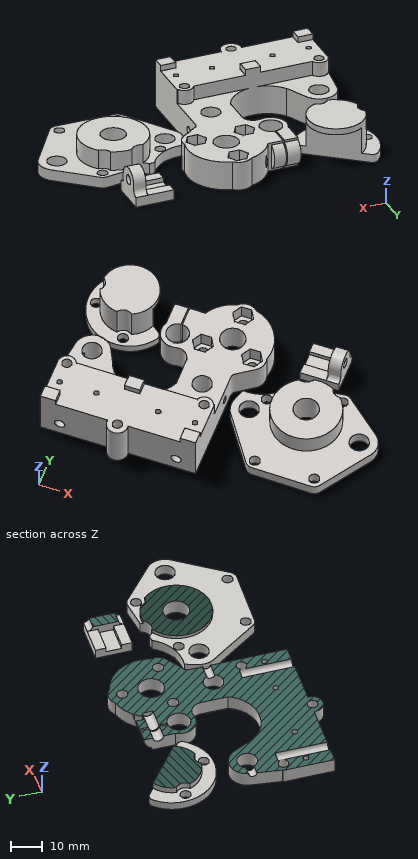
import cadquery as cq
import math


screw_r = 1.7
rod_r = 3.2
rod_lug_r = 6.0
rod_spacing = 36.9
rod_y = 26.6
boss_r = 3.0
bore_r = 4.1
motor_r = 13.2

block_w = 52.1
block_d = 17.2
block_h = 15.0
pad_w = 5.2
pad_d = 4.2
pad_top = 17.0
front_boss_r = 3.5
front_boss_y = -0.4
rear_boss_x = 3.1
rear_boss_y = 16.0
block_screw_r = 1.6
pin_r = 0.8
pin_y = 8.5
pin_offsets = (10.3, 22.7)
front_hole_offset = 19.5
set_screw_r = 1.3

plate_h = 10.0
mid_x = block_w / 2
mid_z = plate_h / 2
rod_left_x = mid_x - rod_spacing / 2
rod_right_x = mid_x + rod_spacing / 2
cradle_r = 11.6
cradle_y = 28.7
neck_x = 36.7
flank_foot_x = 19.0
flank_end = (16.7, 22.0)

motor_x = 47.6
motor_y = 46.1
motor_screw_circle = 9.5
motor_boss_r = 4.6
motor_screw_angles = (90, 210, 330)
nut_corner_d = 7.0
nut_depth = 5.0
shoulder_angle = 35
shoulder_fillet = 2.1

tube_x = 30.6
tube_y = 42.1
tube_r = 3.7
tube_boss_r = 5.5
tube_fillet = 3.8
clamp_left = 25.7
clamp_flat_y = 52.4
clamp_gap = (34.8, 37.5)
clamp_slit = 0.4
clamp_bolt_y = 50.3
clamp_lobe_r = 4.7
clamp_back_y = clamp_bolt_y + clamp_lobe_r

cap_x = 11.7
cap_y = 50.1
cap_axis_angle = 232.3
cap_flange_r = 14.0
cap_flange_h = 3.0
cap_flange_fillet = 1.9
cap_drum_r = 9.5
cap_lip_z = 12.0
cap_top = 14.1
cap_flat = 3.0
cap_screw_circle = 11.1
cap_screw_half_angle = 46.2

cover_x = 78.7
cover_h = 3.9
cover_disc_y = 28.5
cover_disc_r = 11.5
cover_top = 10.5
cover_low_spacing = 19.9
cover_low_y = 8.7
cover_low_left_r = 2.8
cover_low_right_r = 3.2
cover_top_screw = (86.9, 39.2)
cover_side_screw = (64.1, 32.1)
cover_lobe = (70.3, 36.9)
cover_lobe_r = 2.6
cover_shoulder = (56.3, 32.9)
cover_shoulder_r = 0.3
cover_motor = (57.6, 45.8)
cover_notch = (74.1, 41.7)
cover_notch_r = 3.6

slider_x = 70.3
slider_y = 45.5
slider_l = 13.1
slider_w = 12.1
slider_base_h = 3.6
groove_w = 5.1
groove_depth = 1.6
ear_t = 4.2
ear_r = 4.2
ear_top = 11.2
ear_hole_r = 1.6


def rod(x, y, radius, z0, z1):
    return cq.Workplane("XY", origin=(x, y, z0)).circle(radius).extrude(z1 - z0)


def block(x0, x1, y0, y1, z0, z1):
    return cq.Workplane("XY", origin=(x0, y0, z0)).box(x1 - x0, y1 - y0, z1 - z0, centered=False)


def polar(center, radius, degrees):
    angle = math.radians(degrees)
    return (center[0] + radius * math.cos(angle), center[1] + radius * math.sin(angle))


def tangent_angle(a, b):
    """Direction, in degrees, from either centre to the tangent line on the right of circles a to b."""
    (ax, ay, ar), (bx, by, br) = a, b
    distance = math.hypot(bx - ax, by - ay)
    heading = math.atan2(by - ay, bx - ax)
    return math.degrees(heading - math.acos((ar - br) / distance))


def hull(circles, height):
    """Plate stretched around circles (x, y, radius) listed counterclockwise."""
    count = len(circles)
    angles = [tangent_angle(circles[i], circles[(i + 1) % count]) for i in range(count)]
    x, y, radius = circles[0]
    outline = cq.Workplane("XY").moveTo(*polar((x, y), radius, angles[0]))
    for i in range(count):
        x, y, radius = circles[(i + 1) % count]
        start = angles[i]
        end = angles[(i + 1) % count]
        middle = start + (end - start) % 360 / 2
        outline = outline.lineTo(*polar((x, y), radius, start))
        outline = outline.threePointArc(polar((x, y), radius, middle), polar((x, y), radius, end))
    return outline.close().extrude(height)


def main_block():
    body = block(0, block_w, 0, block_d, 0, block_h)
    body = body.union(rod(mid_x, front_boss_y, front_boss_r, 0, block_h))
    for x in (rear_boss_x, block_w - rear_boss_x):
        body = body.union(rod(x, rear_boss_y, boss_r, 0, block_h))
    middle_left = mid_x - pad_w / 2
    corners = ((0, 0), (block_w - pad_w, 0), (middle_left, block_d - pad_d))
    for x, y in corners:
        body = body.union(block(x, x + pad_w, y, y + pad_d, 0, pad_top))
    return body


def rod_lug():
    """Left lug, blending into the rear boss on one side and the cradle on the other."""
    foot_r = 0.1
    return hull(
        [
            (rod_left_x, rod_y, rod_lug_r),
            (rear_boss_x, rear_boss_y, boss_r),
            (flank_foot_x - foot_r, block_d - foot_r, foot_r),
        ],
        plate_h,
    )


def neck():
    """Neck from the block to the motor disc, with the fillet against the tube boss."""
    fillet_x = neck_x - tube_fillet
    reach = tube_boss_r + tube_fillet
    fillet_y = tube_y - math.sqrt(reach ** 2 - (fillet_x - tube_x) ** 2)
    fillet_end = math.degrees(math.atan2(tube_y - fillet_y, tube_x - fillet_x))
    boss = polar((motor_x, motor_y), motor_screw_circle, motor_screw_angles[2])
    shoulder_start = polar(boss, motor_boss_r, shoulder_angle - 90)
    slope = math.tan(math.radians(shoulder_angle))
    shoulder_end = (block_w, shoulder_start[1] - slope * (shoulder_start[0] - block_w))
    cradle_mid_angle = -60
    body = (
        cq.Workplane("XY")
        .moveTo(mid_x, block_d - boss_r)
        .lineTo(block_w, block_d - boss_r)
        .lineTo(*shoulder_end)
        .lineTo(*shoulder_start)
        .lineTo(motor_x, motor_y)
        .lineTo(tube_x, tube_y)
        .lineTo(*polar((fillet_x, fillet_y), tube_fillet, fillet_end))
        .threePointArc(
            polar((fillet_x, fillet_y), tube_fillet, fillet_end / 2),
            (neck_x, fillet_y),
        )
        .lineTo(neck_x, cradle_y - math.sqrt(cradle_r ** 2 - (neck_x - mid_x) ** 2))
        .threePointArc(
            polar((mid_x, cradle_y), cradle_r, cradle_mid_angle),
            (mid_x, cradle_y - cradle_r),
        )
        .close()
        .extrude(plate_h)
    )
    corner = cq.selectors.NearestToPointSelector((*shoulder_end, mid_z))
    return body.edges("|Z").edges(corner).fillet(shoulder_fillet)


def cross_rod(x, y, radius, plane, length):
    return cq.Workplane(plane, origin=(x, y, mid_z)).circle(radius).extrude(length)


def tube_clamp():
    """Split clamp with a round lobe along its back and a nut gap across the lobe."""
    lobe = cross_rod(clamp_left, clamp_bolt_y, clamp_lobe_r, "YZ", motor_x - clamp_left)
    body = block(clamp_left, motor_x, tube_y, clamp_flat_y, 0, plate_h).union(lobe)
    body = body.cut(block(*clamp_gap, clamp_flat_y, clamp_back_y, 0, plate_h))
    return body.union(rod(tube_x, tube_y, tube_boss_r, 0, plate_h))


def motor_screws():
    return [polar((motor_x, motor_y), motor_screw_circle, a) for a in motor_screw_angles]


def motor_disc():
    body = rod(motor_x, motor_y, motor_r, 0, plate_h)
    for x, y in motor_screws():
        body = body.union(rod(x, y, motor_boss_r, 0, plate_h))
    return body


def make_mount():
    cradle = rod(mid_x, cradle_y, cradle_r, 0, plate_h)
    cradle_foot = block(flank_end[0], mid_x, block_d, flank_end[1], 0, plate_h)
    body = rod_lug().union(cradle_foot).cut(cradle).union(neck()).union(main_block())
    body = body.union(tube_clamp()).union(motor_disc())

    for x in (rod_left_x, rod_right_x):
        body = body.cut(rod(x, rod_y, rod_r, 0, plate_h))
    body = body.cut(rod(motor_x, motor_y, bore_r, 0, plate_h))
    body = body.cut(rod(tube_x, tube_y, tube_r, 0, plate_h))
    for x, y in motor_screws():
        pocket = cq.Workplane("XY", origin=(x, y, plate_h)).polygon(6, nut_corner_d).extrude(-nut_depth)
        body = body.cut(pocket).cut(rod(x, y, screw_r, 0, plate_h))
    block_screws = (
        (rear_boss_x, rear_boss_y),
        (block_w - rear_boss_x, rear_boss_y),
        (mid_x, front_boss_y),
    )
    for x, y in block_screws:
        body = body.cut(rod(x, y, block_screw_r, 0, block_h))

    for side in (-1, 1):
        for offset in pin_offsets:
            body = body.cut(rod(mid_x + side * offset, pin_y, pin_r, 0, block_h))
        hole = cross_rod(mid_x + side * front_hole_offset, 0, screw_r, "XZ", -block_d)
        set_screw = cross_rod(mid_x + side * rod_spacing / 2, rod_y, set_screw_r, "YZ", side * block_w / 2)
        body = body.cut(hole).cut(set_screw)

    half_slit = clamp_slit / 2
    body = body.cut(block(tube_x - half_slit, tube_x + half_slit, tube_y, clamp_back_y, 0, plate_h))
    bolt_length = clamp_gap[1] - clamp_left
    return body.cut(cross_rod(clamp_left, clamp_bolt_y, screw_r, "YZ", bolt_length))


def make_cap():
    """Built with its symmetry axis along +X, then turned and moved into place."""
    flat_side = block(-2 * cap_flange_r, -cap_flat, -cap_flange_r, cap_flange_r, 0, cap_lip_z)
    flange = rod(0, 0, cap_flange_r, 0, cap_flange_h).cut(flat_side)
    flange = flange.edges("|Z").fillet(cap_flange_fillet)
    body = rod(0, 0, cap_drum_r, 0, cap_lip_z).cut(flat_side)
    body = body.union(rod(0, 0, cap_drum_r, cap_lip_z, cap_top))
    screws = [polar((0, 0), cap_screw_circle, side * cap_screw_half_angle) for side in (-1, 1)]
    for x, y in screws:
        body = body.cut(rod(x, y, boss_r, 0, cap_top))
    body = body.union(flange)
    for x, y in screws:
        body = body.cut(rod(x, y, screw_r, 0, cap_flange_h))
    return body.rotate((0, 0, 0), (0, 0, 1), cap_axis_angle).translate((cap_x, cap_y, 0))


def make_cover():
    rod_left = cover_x - rod_spacing / 2
    rod_right = cover_x + rod_spacing / 2
    low_left = cover_x - cover_low_spacing / 2
    low_right = cover_x + cover_low_spacing / 2
    plate = hull(
        [
            (rod_left, rod_y, rod_lug_r),
            (low_left, cover_low_y, cover_low_left_r),
            (low_right, cover_low_y, cover_low_right_r),
            (rod_right, rod_y, rod_lug_r),
            (*cover_top_screw, boss_r),
            (*cover_lobe, cover_lobe_r),
            (*cover_shoulder, cover_shoulder_r),
        ],
        cover_h,
    )
    disc = rod(cover_x, cover_disc_y, cover_disc_r, cover_h, cover_top)
    disc = disc.cut(rod(*cover_top_screw, boss_r, cover_h, cover_top))
    body = plate.union(disc)
    body = body.cut(rod(*cover_motor, motor_r, 0, cover_top))
    body = body.cut(rod(*cover_notch, cover_notch_r, 0, cover_top))
    body = body.cut(rod(cover_x, cover_disc_y, bore_r, 0, cover_top))
    for x in (rod_left, rod_right):
        body = body.cut(rod(x, rod_y, rod_r, 0, cover_h))
    screws = (
        (low_left, cover_low_y),
        (low_right, cover_low_y),
        cover_top_screw,
        cover_side_screw,
    )
    for x, y in screws:
        body = body.cut(rod(x, y, screw_r, 0, cover_h))
    return body


def make_slider():
    right = slider_x + slider_l
    middle_y = slider_y + slider_w / 2
    flare = slider_w / 2 - ear_r
    flare_top = slider_base_h + flare
    ear_z = ear_top - ear_r
    bend = flare * (1 - math.sqrt(0.5))
    body = block(slider_x, right, slider_y, slider_y + slider_w, 0, slider_base_h)
    body = body.cut(
        block(
            slider_x, right, middle_y - groove_w / 2, middle_y + groove_w / 2,
            slider_base_h - groove_depth, slider_base_h,
        )
    )
    ear = (
        cq.Workplane("YZ", origin=(right - ear_t, middle_y, 0))
        .moveTo(-slider_w / 2, 0)
        .lineTo(slider_w / 2, 0)
        .lineTo(slider_w / 2, slider_base_h)
        .threePointArc((ear_r + bend, slider_base_h + bend), (ear_r, flare_top))
        .lineTo(ear_r, ear_z)
        .threePointArc((0, ear_top), (-ear_r, ear_z))
        .lineTo(-ear_r, flare_top)
        .threePointArc((-ear_r - bend, slider_base_h + bend), (-slider_w / 2, slider_base_h))
        .close()
        .extrude(ear_t)
    )
    hole = cq.Workplane("YZ", origin=(slider_x, middle_y, ear_z)).circle(ear_hole_r).extrude(slider_l)
    return body.union(ear).cut(hole)


mount = make_mount()
cap = make_cap()
cover = make_cover()
slider = make_slider()

result = cq.Compound.makeCompound([mount.val(), cap.val(), cover.val(), slider.val()])